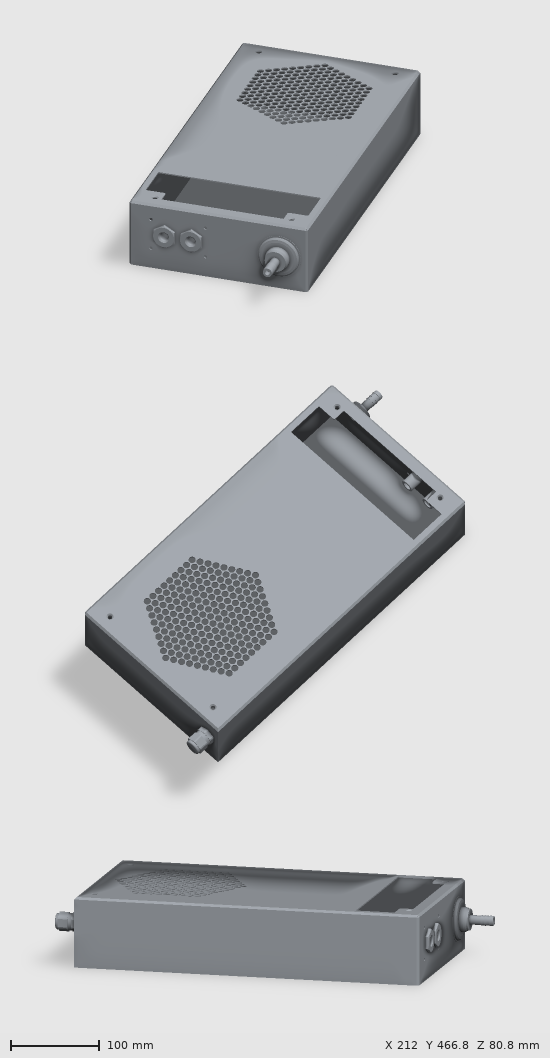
import cadquery as cq
import math

WIDTH = 212.0
LENGTH = 400.5
HEIGHT = 80.8
SHEET = 1.5
EDGE_CHAMFER = 2.5
PLATE = 1.5
FRONT = -LENGTH / 2
BACK = LENGTH / 2

VENT_Y = 103.7
VENT_PITCH = 9.04
VENT_COLUMN_STEP = 8.05
VENT_HOLE = 8.0
VENT_RINGS = 8

WINDOW_WIDTH = 193.0
WINDOW_NECK = 145.0
WINDOW_BACK_Y = -124.6
WINDOW_STEP_Y = -169.6
WINDOW_FRONT_Y = -185.2
WINDOW_CORNER = 2.0

NUT_X = 81.0
NUT_Y = 183.0
NUT_FLATS = 11.0
NUT_LENGTH = 6.0
NUT_BORE = 5.0
NUT_COUNTERSINK = 8.0

SOCKET_SPACING = 32.0
SOCKET_MID_X = -47.6
SOCKET_Z = 43.2
SOCKET_FLATS = 24.6
SOCKET_HEAD = 4.0
SOCKET_THREAD = 15.0
SOCKET_REACH = 20.0
SOCKET_BORE = 10.0
SOCKET_MOUTH = 13.4
SOCKET_CORNER_TURN = 1.8
SOCKET_CORNER_SLOPE = 30.0

COUNTERSINK_ANGLE = 90.0

FIXING_HOLE = 4.0
FIXING_SPAN_X = 64.6
FIXING_SPAN_Z = 36.6

BARB_X = 72.3
BARB_Z = HEIGHT / 2
BARB_LENGTH = 41.5
SPIGOT_RADIUS = 14.0
GASKET_RADIUS = 26.0
GASKET = 0.4
FLANGE_RADIUS = 24.0
FLANGE_RIM = 2.2
FLANGE_EDGE_RADIUS = 22.5
FLANGE_EDGE = 3.6
FLANGE_FACE_RADIUS = 19.3
FLANGE_TOP = 4.2
HUB_RADIUS = 14.1
HUB_SHOULDER = 8.8
HUB_TAPER_RADIUS = 13.4
HUB_TAPER_TOP = 10.6
HUB_END_RADIUS = 12.4
HUB_CHAMFER_TOP = 12.0
HUB_TOP = 14.0
TUBE_RADIUS = 5.4
RIDGE_RADIUS = 6.0
RIDGE_STARTS = [27.2, 31.5, 37.1]
BARB_BORE = 6.0

GLAND_X = -89.2
GLAND_Z = 48.8
GLAND_FLATS = 20.0
GLAND_CORNERS = 22.0
GLAND_BASE_TOP = 5.6
GLAND_NECK_TOP = 9.9
GLAND_NUT_TOP = 21.1
GLAND_LENGTH = 24.8
GLAND_NECK = 19.6
GLAND_CAP = 18.5
GLAND_CAP_FILLET = 1.6
GLAND_THREAD = 16.0


def hexagon_diameter(flats):
    """Diameter across the corners of a hexagon."""
    return flats * 2 / math.sqrt(3)


def front_plane(x, z, y=FRONT):
    """Plane whose normal points out of the front wall."""
    return cq.Workplane(cq.Plane((x, y, z), (1, 0, 0), (0, -1, 0)))


def back_plane(y):
    """Plane at the gland axis whose normal points out of the back wall."""
    return cq.Workplane(cq.Plane((GLAND_X, y, GLAND_Z), (-1, 0, 0), (0, 1, 0)))


def vent_points():
    points = []
    for q in range(-VENT_RINGS, VENT_RINGS + 1):
        for r in range(-VENT_RINGS, VENT_RINGS + 1):
            if abs(q + r) <= VENT_RINGS:
                x = q * VENT_COLUMN_STEP
                points.append((x, VENT_Y + (r + q / 2) * VENT_PITCH))
    return points


nut_points = [(x, y) for x in (-NUT_X, NUT_X) for y in (-NUT_Y, NUT_Y)]
socket_xs = [SOCKET_MID_X + side * SOCKET_SPACING / 2 for side in (-1, 1)]


def make_housing():
    """Open-bottomed sheet metal cover; its left rear upright edge is a sharp seam."""
    height = HEIGHT - PLATE
    base = cq.Workplane("XY", origin=(0, 0, PLATE))
    housing = base.box(WIDTH, LENGTH, height, centered=(True, True, False))
    housing = housing.edges("|Z and (>X or <Y)").chamfer(EDGE_CHAMFER)
    housing = housing.faces(">Z").edges().chamfer(EDGE_CHAMFER)
    inside = base.box(
        WIDTH - 2 * SHEET, LENGTH - 2 * SHEET, height - SHEET, centered=(True, True, False))
    housing = housing.cut(inside)

    top = cq.Workplane("XY", origin=(0, 0, HEIGHT - SHEET))
    vent = top.pushPoints(vent_points()).circle(VENT_HOLE / 2).extrude(SHEET)
    half = WINDOW_WIDTH / 2
    neck = WINDOW_NECK / 2
    window = top.polyline([
        (-half, WINDOW_BACK_Y), (half, WINDOW_BACK_Y), (half, WINDOW_STEP_Y), (neck, WINDOW_STEP_Y),
        (neck, WINDOW_FRONT_Y), (-neck, WINDOW_FRONT_Y), (-neck, WINDOW_STEP_Y), (-half, WINDOW_STEP_Y),
    ]).close().extrude(SHEET)
    step_corners = cq.selectors.BoxSelector(
        (-neck - 1, WINDOW_STEP_Y - 1, 0), (neck + 1, WINDOW_STEP_Y + 1, HEIGHT))
    window = window.edges("|Z").edges(step_corners).fillet(WINDOW_CORNER)
    nut_holes = top.pushPoints(nut_points).polygon(6, hexagon_diameter(NUT_FLATS)).extrude(SHEET)
    housing = housing.cut(vent).cut(window).cut(nut_holes)

    wall = front_plane(SOCKET_MID_X, SOCKET_Z)
    fixings = wall.rect(FIXING_SPAN_X, FIXING_SPAN_Z, forConstruction=True).vertices()
    housing = housing.cut(fixings.circle(FIXING_HOLE / 2).extrude(-SHEET))
    for x in socket_xs:
        housing = housing.cut(front_plane(x, SOCKET_Z).circle(SOCKET_THREAD / 2).extrude(-SHEET))
    housing = housing.cut(front_plane(BARB_X, BARB_Z).circle(SPIGOT_RADIUS).extrude(-SHEET))
    return housing.cut(back_plane(BACK).circle(GLAND_THREAD / 2).extrude(-SHEET))


def make_base_plate():
    plate = cq.Workplane("XY").box(WIDTH, LENGTH, PLATE, centered=(True, True, False))
    return plate.edges("|Z and (>X or <Y)").chamfer(EDGE_CHAMFER)


def make_nut(x, y):
    head = cq.Workplane("XY", origin=(x, y, HEIGHT))
    head = head.polygon(6, hexagon_diameter(NUT_FLATS)).extrude(-NUT_LENGTH)
    return head.faces(">Z").workplane().cskHole(NUT_BORE, NUT_COUNTERSINK, COUNTERSINK_ANGLE)


def make_socket(x):
    """Hexagon head outside the wall and a round thread through it, with a flared bore."""
    corner = hexagon_diameter(SOCKET_FLATS) / 2
    head = front_plane(x, SOCKET_Z).polygon(6, 2 * corner).extrude(SOCKET_HEAD)
    head = head.rotate((x, 0, SOCKET_Z), (x, 1, SOCKET_Z), 30)
    turned = front_plane(x, SOCKET_Z).circle(corner).extrude(SOCKET_HEAD)
    turn_depth = SOCKET_CORNER_TURN * math.tan(math.radians(SOCKET_CORNER_SLOPE))
    turned = turned.faces("<Y").chamfer(turn_depth, SOCKET_CORNER_TURN)
    head = head.intersect(turned)
    thread = front_plane(x, SOCKET_Z).circle(SOCKET_THREAD / 2).extrude(-SOCKET_REACH)
    socket = head.union(thread)
    mouth = socket.faces("<Y").workplane(origin=(x, 0, SOCKET_Z))
    return mouth.cskHole(SOCKET_BORE, SOCKET_MOUTH, COUNTERSINK_ANGLE)


def make_barb():
    """Turned fitting: spigot, gasket, flange, hub and a ridged hose tube."""
    profile = cq.Workplane("XY").moveTo(0, -SHEET).lineTo(SPIGOT_RADIUS, -SHEET).lineTo(SPIGOT_RADIUS, 0)
    profile = profile.lineTo(GASKET_RADIUS, 0).lineTo(GASKET_RADIUS, GASKET).lineTo(FLANGE_RADIUS, GASKET)
    profile = profile.lineTo(FLANGE_RADIUS, FLANGE_RIM)
    profile = profile.lineTo(FLANGE_EDGE_RADIUS, FLANGE_EDGE).lineTo(FLANGE_FACE_RADIUS, FLANGE_TOP)
    profile = profile.lineTo(HUB_RADIUS, FLANGE_TOP).lineTo(HUB_RADIUS, HUB_SHOULDER)
    profile = profile.lineTo(HUB_TAPER_RADIUS, HUB_TAPER_TOP).lineTo(HUB_END_RADIUS, HUB_CHAMFER_TOP)
    profile = profile.lineTo(HUB_END_RADIUS, HUB_TOP)
    profile = profile.lineTo(TUBE_RADIUS, HUB_TOP).lineTo(TUBE_RADIUS, RIDGE_STARTS[0])
    for start, end in zip(RIDGE_STARTS, RIDGE_STARTS[1:] + [BARB_LENGTH]):
        profile = profile.lineTo(RIDGE_RADIUS, start).lineTo(TUBE_RADIUS, end)
    barb = profile.lineTo(0, BARB_LENGTH).close().revolve(360, (0, 0, 0), (0, 1, 0))
    barb = barb.cut(cq.Workplane("XZ").circle(BARB_BORE / 2).extrude(BARB_LENGTH, both=True))
    return barb.rotate((0, 0, 0), (0, 0, 1), 180).translate((BARB_X, FRONT, BARB_Z))


def make_gland():
    """Cable gland: threaded end in the wall, two hexagons with a round neck, and a cap."""
    def section(start, end, diameter):
        return back_plane(BACK + start).circle(diameter / 2).extrude(end - start)

    def hexagon(start, end):
        prism = back_plane(BACK + start).polygon(6, hexagon_diameter(GLAND_FLATS)).extrude(end - start)
        prism = prism.rotate((GLAND_X, 0, GLAND_Z), (GLAND_X, 1, GLAND_Z), 30)
        return prism.intersect(section(start, end, GLAND_CORNERS))

    cap = section(GLAND_NUT_TOP, GLAND_LENGTH, GLAND_CAP).faces(">Y").edges().fillet(GLAND_CAP_FILLET)
    gland = section(-SHEET, 0, GLAND_THREAD).union(hexagon(0, GLAND_BASE_TOP))
    gland = gland.union(section(GLAND_BASE_TOP, GLAND_NECK_TOP, GLAND_NECK))
    return gland.union(hexagon(GLAND_NECK_TOP, GLAND_NUT_TOP)).union(cap)


housing = make_housing()
base_plate = make_base_plate()
nuts = [make_nut(x, y) for x, y in nut_points]
sockets = [make_socket(x) for x in socket_xs]
barb = make_barb()
gland = make_gland()

result = cq.Compound.makeCompound([
    housing.val(), base_plate.val(), *[nut.val() for nut in nuts],
    *[socket.val() for socket in sockets], barb.val(), gland.val(),
])